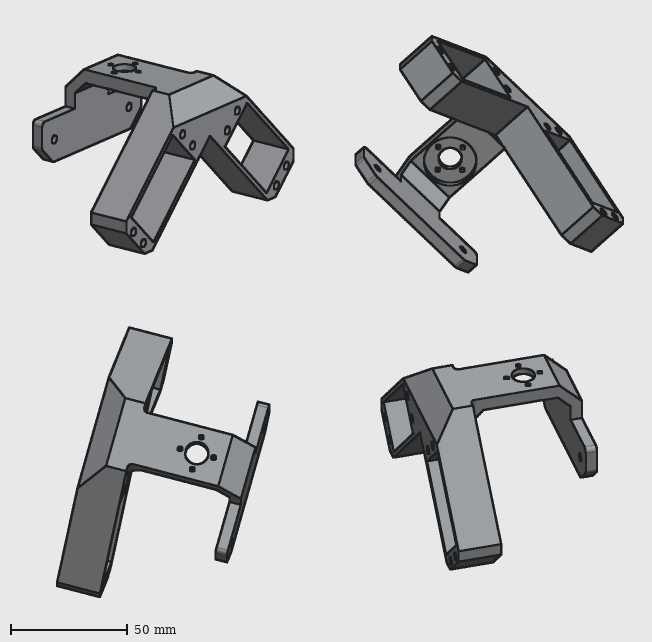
import cadquery as cq
import math

LENGTH_X = 69.0
WIDTH_Y = 118.5
HEIGHT_Z = 61.8
TOP_BEVEL = 10.1

FRAME_DEPTH = 19.1
FRAME_X = LENGTH_X - FRAME_DEPTH
TOP_HALF_WIDTH = 15.8
TIP_SIDE_BOTTOM = -48.9
FRAME_WIDTH = 26.0
RAIL = 2.0
WINDOW_LENGTH = 41.5
WINDOW_CENTER_ALONG = 48.8
SCREW_DIAMETER = 3.5
SCREW_SPACING_ACROSS = 10.0
SCREW_SPACING_ALONG = 49.2

STRAP_HALF_WIDTH = 12.0
STRAP_THICKNESS = 6.2
PLATE_THICKNESS = 5.1
INNER_BEVEL = 5.8
ROOT_RADIUS = 2.0
BORE_X = 22.9
BORE_DIAMETER = 10.0
RECESS_DIAMETER = 22.5
BORE_WEB = 3.0
PILOT_DIAMETER = 2.0
PILOT_OFFSET = 7.5

PLATE_HALF_WIDTH = 35.1
PLATE_TOP = -19.0
PLATE_BOTTOM = -39.1
PLATE_BEVEL = 7.7
PLATE_RADIUS = 2.0
PLATE_HOLE_Y = 26.4
PLATE_HOLE_Z = -28.9


def mirrored(points):
    """Close a half outline, given from top to bottom, by mirroring it in Y."""
    return points + [(-y, z) for y, z in reversed(points) if y > 0]


def make_frames():
    half_width = WIDTH_Y / 2
    drop = FRAME_WIDTH * math.sqrt(2)
    apex_z = TOP_HALF_WIDTH - drop
    inner_foot_y = apex_z + HEIGHT_Z
    outer_foot_y = half_width - (HEIGHT_Z + TIP_SIDE_BOTTOM)
    outline = mirrored([
        (TOP_HALF_WIDTH, 0),
        (half_width, TOP_HALF_WIDTH - half_width),
        (half_width, TIP_SIDE_BOTTOM),
        (outer_foot_y, -HEIGHT_Z),
        (inner_foot_y, -HEIGHT_Z),
        (0, apex_z),
    ])
    frames = cq.Workplane("YZ", origin=(FRAME_X, 0, 0)).polyline(outline).close().extrude(FRAME_DEPTH)

    across = TOP_HALF_WIDTH / math.sqrt(2) - FRAME_WIDTH / 2
    center_y = (WINDOW_CENTER_ALONG + across) / math.sqrt(2)
    center_z = (across - WINDOW_CENTER_ALONG) / math.sqrt(2)
    for side in (-1, 1):
        arm = cq.Workplane("YZ", origin=(FRAME_X, side * center_y, center_z))
        arm = arm.transformed(rotate=(0, 0, -45 * side))
        window = arm.rect(WINDOW_LENGTH, FRAME_WIDTH - 2 * RAIL).extrude(FRAME_DEPTH)
        screws = (
            arm.rect(SCREW_SPACING_ALONG, SCREW_SPACING_ACROSS, forConstruction=True)
            .vertices().circle(SCREW_DIAMETER / 2).extrude(FRAME_DEPTH)
        )
        frames = frames.cut(window).cut(screws)

    bevel = (
        cq.Workplane("XZ")
        .polyline([(LENGTH_X - TOP_BEVEL, 0), (LENGTH_X, 0), (LENGTH_X, -TOP_BEVEL)]).close()
        .extrude(WIDTH_Y / 2, both=True)
    )
    return frames.cut(bevel)


def make_strap():
    bend_z = -STRAP_THICKNESS - INNER_BEVEL
    side_profile = (
        cq.Workplane("XZ")
        .polyline([
            (0, PLATE_BOTTOM), (0, -TOP_BEVEL), (TOP_BEVEL, 0), (FRAME_X, 0),
            (FRAME_X, bend_z), (FRAME_X - INNER_BEVEL, -STRAP_THICKNESS),
            (PLATE_THICKNESS + INNER_BEVEL, -STRAP_THICKNESS),
            (PLATE_THICKNESS, bend_z), (PLATE_THICKNESS, PLATE_BOTTOM),
        ]).close()
        .extrude(WIDTH_Y / 2, both=True)
    )
    root_x = FRAME_X - ROOT_RADIUS
    root_y = STRAP_HALF_WIDTH + ROOT_RADIUS
    arc_x = root_x + ROOT_RADIUS * math.sin(math.pi / 4)
    arc_y = root_y - ROOT_RADIUS * math.cos(math.pi / 4)
    plan = (
        cq.Workplane("XY")
        .moveTo(0, -STRAP_HALF_WIDTH)
        .lineTo(root_x, -STRAP_HALF_WIDTH)
        .threePointArc((arc_x, -arc_y), (FRAME_X, -root_y))
        .lineTo(FRAME_X, root_y)
        .threePointArc((arc_x, arc_y), (root_x, STRAP_HALF_WIDTH))
        .lineTo(0, STRAP_HALF_WIDTH)
        .close()
        .extrude(PLATE_BOTTOM)
    )
    strap = side_profile.intersect(plan)

    bore = cq.Workplane("XY").center(BORE_X, 0).circle(BORE_DIAMETER / 2).extrude(-STRAP_THICKNESS)
    pilots = (
        cq.Workplane("XY").center(BORE_X, 0)
        .polarArray(PILOT_OFFSET, 0, 360, 4)
        .circle(PILOT_DIAMETER / 2).extrude(-STRAP_THICKNESS)
    )
    recess = (
        cq.Workplane("XY", origin=(BORE_X, 0, -STRAP_THICKNESS))
        .circle(RECESS_DIAMETER / 2).extrude(STRAP_THICKNESS - BORE_WEB)
    )
    return strap.cut(bore).cut(pilots).cut(recess)


def make_plate():
    outline = mirrored([
        (PLATE_HALF_WIDTH, PLATE_TOP),
        (PLATE_HALF_WIDTH, PLATE_BOTTOM + PLATE_BEVEL),
        (PLATE_HALF_WIDTH - PLATE_BEVEL, PLATE_BOTTOM),
    ])
    plate = cq.Workplane("YZ").polyline(outline).close().extrude(PLATE_THICKNESS)
    plate = plate.edges("|X").fillet(PLATE_RADIUS)
    holes = (
        cq.Workplane("YZ")
        .pushPoints([(-PLATE_HOLE_Y, PLATE_HOLE_Z), (PLATE_HOLE_Y, PLATE_HOLE_Z)])
        .circle(SCREW_DIAMETER / 2).extrude(PLATE_THICKNESS)
    )
    return plate.cut(holes)


result = make_frames().union(make_strap()).union(make_plate())